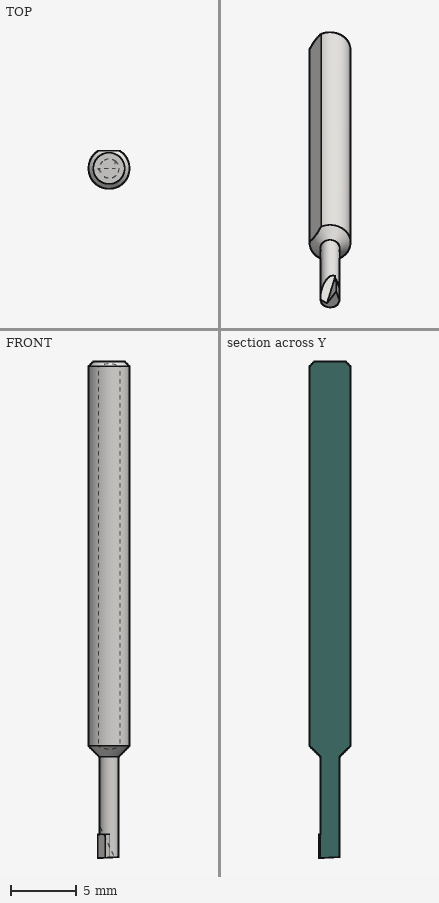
import cadquery as cq
import math

length = 38.1

shank_diameter = 3.15
shank_radius = shank_diameter / 2
width_across_flat = 2.95
flat_offset = width_across_flat - shank_radius
shank_bottom = 8.6
top_chamfer = 0.4

neck_diameter = 1.5
neck_radius = neck_diameter / 2
cone_height = shank_radius - neck_radius
neck_top = shank_bottom - cone_height

head_height = 1.83
cutting_reach = 0.88
relief_end_x = -0.3
land_end_x = 0.05
end_relief_angle = 3.0

pocket_top = 2.5
pocket_bottom_x = 0.45


def neck_y(x):
    """Y of the neck surface on its -Y side."""
    return -math.sqrt(neck_radius**2 - x**2)


def make_body():
    """Neck, cone, chamfered shank and shank flat."""
    profile = [
        (0, 0),
        (neck_radius, 0),
        (neck_radius, neck_top),
        (shank_radius, shank_bottom),
        (shank_radius, length - top_chamfer),
        (shank_radius - top_chamfer, length),
        (0, length),
    ]
    body = cq.Workplane("XZ").polyline(profile).close().revolve(360, (0, 0), (0, 1))
    beyond_flat = (
        cq.Workplane("XY")
        .box(2 * shank_radius, shank_radius, length, centered=(True, False, False))
        .translate((0, flat_offset, 0))
    )
    return body.cut(beyond_flat)


def make_head():
    """Cutting head: relief face from the cutting edge, then a narrow flat land."""
    return (
        cq.Workplane("XY")
        .polyline([
            (-cutting_reach, 0),
            (relief_end_x, neck_y(relief_end_x)),
            (land_end_x, neck_y(land_end_x)),
            (land_end_x, 0),
        ])
        .close()
        .extrude(head_height)
    )


def make_head_seat():
    """Quarter of the neck that the cutting head replaces."""
    return (
        cq.Workplane("XY")
        .moveTo(land_end_x, 0)
        .rect(-shank_radius, -shank_radius, centered=False)
        .extrude(head_height)
    )


def make_pocket():
    """Wedge with a sloping floor and its rake wall on the y = 0 plane."""
    outer_x = -shank_radius
    slope = (pocket_bottom_x + neck_radius) / pocket_top
    outer_z = pocket_top + (-neck_radius - outer_x) / slope
    return (
        cq.Workplane("XZ")
        .polyline([(outer_x, 0), (pocket_bottom_x, 0), (outer_x, outer_z)])
        .close()
        .extrude(-shank_radius)
    )


def make_end_relief():
    """Wedge below the end face, which rises from the cutting corner toward +X."""
    outer_x = shank_radius
    rise = (outer_x + cutting_reach) * math.tan(math.radians(end_relief_angle))
    return (
        cq.Workplane("XZ")
        .polyline([(-cutting_reach, 0), (outer_x, 0), (outer_x, rise)])
        .close()
        .extrude(shank_radius, both=True)
    )


body = make_body().cut(make_head_seat()).union(make_head())
result = body.cut(make_pocket()).cut(make_end_relief())